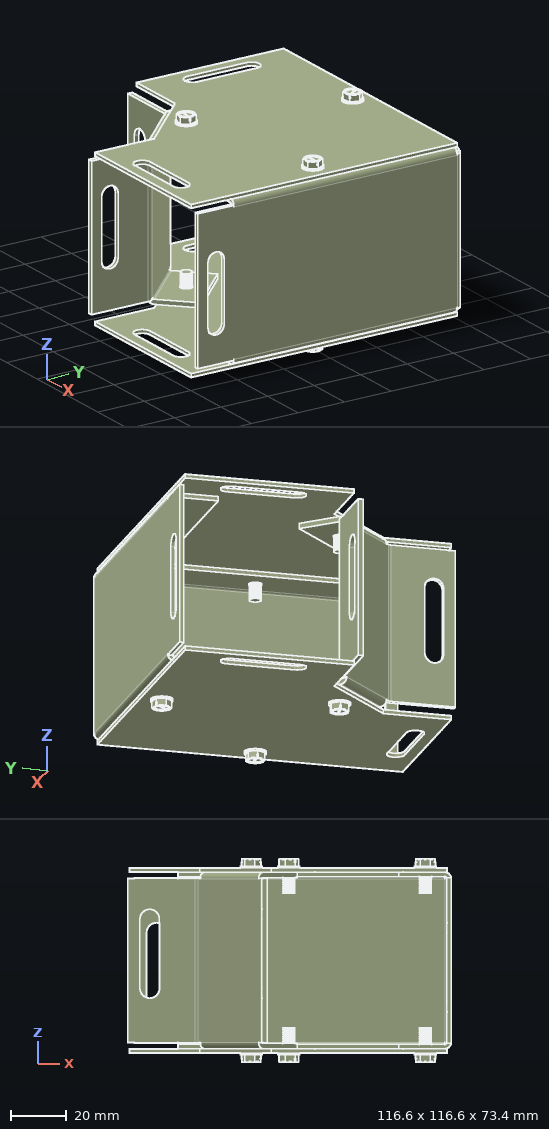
import cadquery as cq
import math


SIZE = 116.6

SCREW_TOP = 36.7
COVER_TOP = 33.4
COVER_THICK = 1.5
FLANGE_TOP = COVER_TOP - COVER_THICK

OUTER_THICK = 1.6
OUTER_BEND = 2.5
OUTER_END = 2.5
OUTER_HALF_HEIGHT = 29.9
OUTER_FLANGE_START = 18.1
OUTER_FLANGE_WIDTH = 19.0

INNER_THICK = 2.0
INNER_WALL = 48.4
INNER_DIAGONAL_SUM = 73.3
INNER_HALF_HEIGHT = 29.6
INNER_CORNER_BEND = 1.4
TAB_BEND = 2.5
TAB_LENGTH = 29.9
TAB_WIDTH = 19.6

COVER_END = 0.6
COVER_SIDE = 115.1
COVER_INNER = 51.8
COVER_DIAGONAL_SUM = 77.8

SLOT_LENGTH = 32.0
COVER_SLOT_WIDTH = 6.5
COVER_SLOT_END = 8.6
COVER_SLOT_MIDDLE = 83.4
WALL_SLOT_WIDTH = 7.0
INNER_SLOT_END = 7.9
OUTER_SLOT_END = 10.4
WALL_SLOT_LIFT = 2.5

SCREW_DIAMETER = 4.5
THREAD_DIAMETER = 4.3
THREAD_DEPTH = 0.3
THREAD_PITCH = 0.8
THREAD_COUNT = 7
THREAD_START = FLANGE_TOP - INNER_THICK
SCREW_TIP = THREAD_START - THREAD_COUNT * THREAD_PITCH
WASHER_DIAMETER = 7.9
WASHER_THICK = 0.6
HEX_ACROSS_FLATS = 6.3
HEX_CORNERS = HEX_ACROSS_FLATS / math.cos(math.radians(30))
CROWN_TAPER = 60
RECESS_DIAMETER = 5.6
RECESS_DEPTH = 0.5
DRIVE_WIDTH = 0.5
DRIVE_DEPTH = 1.4
SCREW_EDGE = 107.3
SCREW_MIDDLE = 58.1
SCREW_DIAGONAL = 44.6
SCREW_PLACES = [
    (SCREW_MIDDLE, SCREW_EDGE, -50),
    (SCREW_EDGE, SCREW_MIDDLE, -2),
    (SCREW_DIAGONAL, SCREW_DIAGONAL, -10),
]


def flip(shape):
    """Copy of a shape mirrored about z = 0."""
    return shape.mirror("XY")


def swap(shape):
    """Copy of a shape mirrored about the plane x = y."""
    return shape.rotate((0, 0, 0), (0, 0, 1), -45).mirror("XZ").rotate((0, 0, 0), (0, 0, 1), 45)


def all_four(shape):
    """The shape with its mirror images about x = y and z = 0."""
    return [shape, swap(shape), flip(shape), flip(swap(shape))]


def onto_diagonal(shape):
    """Move a shape from the X axis, outside at y = 0, onto the diagonal wall of the inner bracket."""
    middle = INNER_DIAGONAL_SUM / 2
    centred = shape.translate((-TAB_LENGTH / 2, 0, 0))
    return centred.rotate((0, 0, 0), (0, 0, 1), -45).translate((middle, middle, 0))


def screw_holes():
    """Through cutters at all screw places."""
    places = [(x, y) for x, y, angle in SCREW_PLACES]
    return (
        cq.Workplane("XY").workplane(offset=-SCREW_TOP).pushPoints(places)
        .circle(SCREW_DIAMETER / 2).extrude(2 * SCREW_TOP)
    )


def wall_slot(from_end, lift):
    """Upright slot cutter through every wall parallel to XZ."""
    return (
        cq.Workplane("XZ").center(from_end, lift)
        .slot2D(SLOT_LENGTH, WALL_SLOT_WIDTH, 90).extrude(-SIZE)
    )


def bent_flange(length, width, thick, bend):
    """Flange along +X, outer wall face at y = 0, folded towards +Y, with its bend."""
    return (
        cq.Workplane("YZ")
        .moveTo(0, FLANGE_TOP - bend)
        .radiusArc((bend, FLANGE_TOP), bend)
        .lineTo(width, FLANGE_TOP)
        .lineTo(width, FLANGE_TOP - thick)
        .lineTo(bend, FLANGE_TOP - thick)
        .radiusArc((thick, FLANGE_TOP - bend), thick - bend)
        .close()
        .extrude(length)
    )


def make_cover():
    """Top cover plate with two slots and three screw holes."""
    chamfer_x = COVER_DIAGONAL_SUM - COVER_INNER
    cover = (
        cq.Workplane("XY").workplane(offset=FLANGE_TOP)
        .polyline([
            (COVER_END, COVER_SIDE),
            (COVER_SIDE, COVER_SIDE),
            (COVER_SIDE, COVER_END),
            (COVER_INNER, COVER_END),
            (COVER_INNER, chamfer_x),
            (chamfer_x, COVER_INNER),
            (COVER_END, COVER_INNER),
        ])
        .close().extrude(COVER_THICK)
    )
    slot = (
        cq.Workplane("XY").center(COVER_SLOT_END, COVER_SLOT_MIDDLE)
        .slot2D(SLOT_LENGTH, COVER_SLOT_WIDTH, 90).extrude(COVER_TOP)
    )
    return cover.cut(slot).cut(swap(slot)).cut(screw_holes())


def make_outer_bracket():
    """Two walls bent at the outer corner, each with a slot and two inward flanges."""
    inside = SIZE - OUTER_THICK
    walls = (
        cq.Workplane("XY").workplane(offset=-OUTER_HALF_HEIGHT)
        .moveTo(OUTER_END, SIZE)
        .lineTo(SIZE - OUTER_BEND, SIZE)
        .radiusArc((SIZE, SIZE - OUTER_BEND), OUTER_BEND)
        .lineTo(SIZE, OUTER_END)
        .lineTo(inside, OUTER_END)
        .lineTo(inside, SIZE - OUTER_BEND)
        .radiusArc((SIZE - OUTER_BEND, inside), OUTER_THICK - OUTER_BEND)
        .lineTo(OUTER_END, inside)
        .close().extrude(2 * OUTER_HALF_HEIGHT)
    )
    slot = wall_slot(OUTER_SLOT_END, -WALL_SLOT_LIFT)
    walls = walls.cut(slot).cut(swap(slot))

    wall_top = FLANGE_TOP - OUTER_BEND
    length = SIZE - OUTER_BEND - OUTER_FLANGE_START
    relief = (
        cq.Workplane("XY").box(length, SIZE, SIZE, centered=(False, True, False))
        .translate((OUTER_FLANGE_START, SIZE, wall_top))
    )
    flange = bent_flange(length, OUTER_FLANGE_WIDTH, OUTER_THICK, OUTER_BEND)
    flange = flange.mirror("XZ").translate((OUTER_FLANGE_START, SIZE, 0))
    miter = (
        cq.Workplane("XY").polyline([(0, 0), (SIZE, SIZE), (0, SIZE)])
        .close().extrude(SIZE)
    )
    flange = flange.intersect(miter)

    for cutter in all_four(relief):
        walls = walls.cut(cutter)
    for piece in all_four(flange):
        walls = walls.union(piece)
    return walls.cut(screw_holes())


def make_inner_bracket():
    """Diagonal wall with a slotted wing on each side and an inward tab at top and bottom."""
    corner = INNER_DIAGONAL_SUM - INNER_WALL
    far_wall = INNER_WALL + INNER_THICK
    far_corner = INNER_DIAGONAL_SUM + INNER_THICK * math.sqrt(2) - far_wall
    walls = (
        cq.Workplane("XY").workplane(offset=-INNER_HALF_HEIGHT)
        .polyline([
            (0, INNER_WALL),
            (corner, INNER_WALL),
            (INNER_WALL, corner),
            (INNER_WALL, 0),
            (far_wall, 0),
            (far_wall, far_corner),
            (far_corner, far_wall),
            (0, far_wall),
        ])
        .close().extrude(2 * INNER_HALF_HEIGHT)
    )
    near = [(corner, INNER_WALL), (INNER_WALL, corner)]
    far = [(far_corner, far_wall), (far_wall, far_corner)]
    for points, radius in ((near, INNER_CORNER_BEND), (far, INNER_CORNER_BEND + INNER_THICK)):
        for x, y in points:
            bend_edge = cq.selectors.NearestToPointSelector((x, y, 0))
            walls = walls.edges(bend_edge).fillet(radius)
    slot = wall_slot(INNER_SLOT_END, WALL_SLOT_LIFT)
    walls = walls.cut(slot).cut(swap(slot))

    wall_top = FLANGE_TOP - TAB_BEND
    relief = (
        cq.Workplane("XY").box(TAB_LENGTH, INNER_THICK, SIZE, centered=False)
        .translate((0, 0, wall_top))
    )
    relief = onto_diagonal(relief)
    tab = onto_diagonal(bent_flange(TAB_LENGTH, TAB_WIDTH, INNER_THICK, TAB_BEND))
    walls = walls.cut(relief).cut(flip(relief)).union(tab).union(flip(tab))
    return walls.cut(screw_holes())


def make_screw(x, y, angle):
    """Hex washer-head screw pointing down, with rings for its thread and a slotted, recessed head."""
    crest = THREAD_DIAMETER / 2
    root = crest - THREAD_DEPTH
    profile = [(0, COVER_TOP), (SCREW_DIAMETER / 2, COVER_TOP), (SCREW_DIAMETER / 2, THREAD_START)]
    for i in range(THREAD_COUNT):
        ridge_top = THREAD_START - i * THREAD_PITCH
        profile += [(crest, ridge_top), (root, ridge_top - THREAD_PITCH / 2)]
    profile += [(crest, SCREW_TIP), (0, SCREW_TIP)]
    shank = cq.Workplane("XZ").polyline(profile).close().revolve(360, (0, 0), (0, 1))
    washer = (
        cq.Workplane("XY").workplane(offset=COVER_TOP)
        .circle(WASHER_DIAMETER / 2).extrude(WASHER_THICK)
    )
    head = (
        cq.Workplane("XY").workplane(offset=COVER_TOP)
        .polygon(6, HEX_CORNERS).extrude(SCREW_TOP - COVER_TOP)
    )
    crown = (
        cq.Workplane("XY").workplane(offset=SCREW_TOP)
        .circle(HEX_ACROSS_FLATS / 2)
        .extrude(COVER_TOP - SCREW_TOP, taper=-CROWN_TAPER)
    )
    recess = (
        cq.Workplane("XY").workplane(offset=SCREW_TOP - RECESS_DEPTH)
        .circle(RECESS_DIAMETER / 2).extrude(RECESS_DEPTH)
    )
    head = head.intersect(crown).cut(recess)
    drive = (
        cq.Workplane("XY").workplane(offset=SCREW_TOP - DRIVE_DEPTH)
        .rect(WASHER_DIAMETER, DRIVE_WIDTH).extrude(DRIVE_DEPTH)
    )
    return (
        shank.union(washer).union(head).cut(drive)
        .rotate((0, 0, 0), (0, 0, 1), angle).translate((x, y, 0))
    )


top_cover = make_cover()
bottom_cover = flip(top_cover)
outer_bracket = make_outer_bracket()
inner_bracket = make_inner_bracket()
screws = []
for x, y, angle in SCREW_PLACES:
    top_screw = make_screw(x, y, angle)
    screws += [top_screw, flip(top_screw)]

result = cq.Compound.makeCompound([
    top_cover.val(),
    bottom_cover.val(),
    outer_bracket.val(),
    inner_bracket.val(),
    *[screw.val() for screw in screws],
])